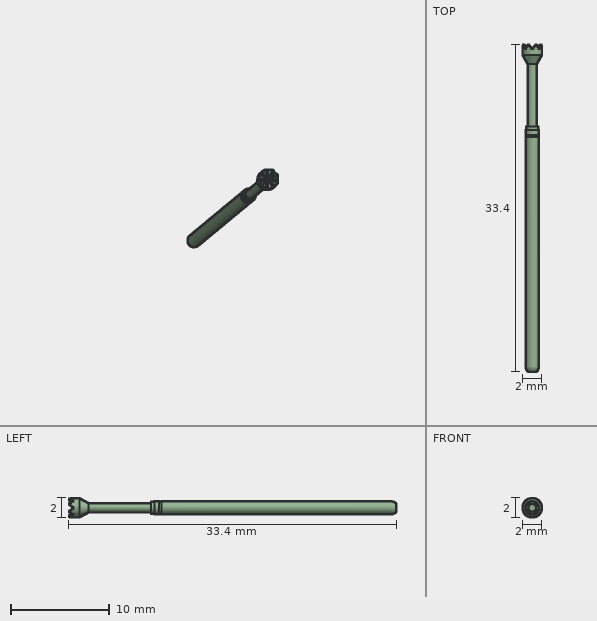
import cadquery as cq
import math


total_length = 33.4
barrel_length = 25.05
barrel_radius = 1.36 / 2
plunger_radius = 0.96 / 2
head_radius = 2.0 / 2

dome_length = 0.55
dome_flat_radius = math.sqrt(barrel_radius**2 - dome_length**2)
dome_mid_angle = math.asin(dome_length / barrel_radius) / 2

lip_length = 0.35
lip_radius = barrel_radius - 0.05
groove_offset = 0.85
groove_width = 0.25
groove_depth = 0.08

head_length = 2.0
head_rim_length = 1.05

tooth_count = 8
serration_depth = 0.45
serration_width = 0.7

lip_start = barrel_length - lip_length
groove_end = barrel_length - groove_offset
groove_start = groove_end - groove_width
head_start = total_length - head_length
rim_start = total_length - head_rim_length


def revolve_about_axis(profile):
    return profile.close().revolve(360, (0, 0, 0), (0, 1, 0))


def make_barrel():
    """Barrel with a domed end, a shallow round ring groove and a lip."""
    dome_mid = (
        barrel_radius * math.cos(dome_mid_angle),
        dome_length - barrel_radius * math.sin(dome_mid_angle),
    )
    groove_bottom = (barrel_radius - groove_depth, groove_start + groove_width / 2)
    profile = (
        cq.Workplane("XY")
        .lineTo(dome_flat_radius, 0)
        .threePointArc(dome_mid, (barrel_radius, dome_length))
        .lineTo(barrel_radius, groove_start)
        .threePointArc(groove_bottom, (barrel_radius, groove_end))
        .lineTo(barrel_radius, lip_start)
        .lineTo(lip_radius, lip_start)
        .lineTo(lip_radius, barrel_length)
        .lineTo(0, barrel_length)
    )
    return revolve_about_axis(profile)


def make_plunger():
    """Plunger rod and crown head, rooted inside the barrel mouth."""
    profile = (
        cq.Workplane("XY")
        .moveTo(0, lip_start)
        .lineTo(plunger_radius, lip_start)
        .lineTo(plunger_radius, head_start)
        .lineTo(head_radius, rim_start)
        .lineTo(head_radius, total_length)
        .lineTo(0, total_length)
    )
    return revolve_about_axis(profile)


def make_serration(angle):
    """V-shaped cutter across the crown, turned about the probe axis."""
    return (
        cq.Workplane("XY")
        .moveTo(-serration_width / 2, total_length)
        .lineTo(0, total_length - serration_depth)
        .lineTo(serration_width / 2, total_length)
        .close()
        .extrude(2 * head_radius, both=True)
        .rotate((0, 0, 0), (0, 1, 0), angle)
    )


result = make_barrel().union(make_plunger())
for cut_index in range(tooth_count // 2):
    result = result.cut(make_serration(cut_index * 360 / tooth_count))